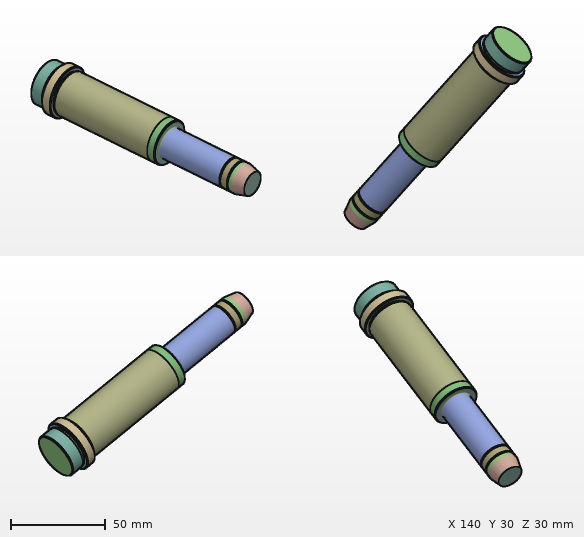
import cadquery as cq
import math

total_length = 140.0
body_diameter = 26.0
collar_diameter = 30.0
spigot_diameter = 18.0

collar_start = 9.0
collar_width = 6.0
shoulder_x = 84.0

edge_chamfer = 0.5
head_relief_width = 1.4
head_relief_depth = 0.4
head_relief_root_width = 0.5
head_relief_root_rise = 0.1
body_relief_width = 1.0
body_relief_depth = 0.5
spigot_root_fillet = 0.5

lead_length = 5.0
lead_clearance = 0.02

nose_length = 7.0
nose_angle = 15.0

groove_width = 0.8
groove_depth = 0.3
groove_pitch = 5.0
groove_count = 2
last_groove_to_nose = 2.6

body_radius = body_diameter / 2
collar_radius = collar_diameter / 2
spigot_radius = spigot_diameter / 2
lead_radius = body_radius - lead_clearance / 2
collar_end = collar_start + collar_width
nose_start = total_length - nose_length
last_groove_start = nose_start - last_groove_to_nose - groove_width
nose_tip_radius = spigot_radius - nose_length * math.tan(math.radians(nose_angle))


def make_shaft():
    """Revolve the half outline, listed from the head end to the nose, about the X axis."""
    outline = (
        cq.Workplane("XZ")
        .moveTo(0, 0)
        .lineTo(0, body_radius - edge_chamfer)
        .lineTo(edge_chamfer, body_radius)
        .lineTo(collar_start - head_relief_width, body_radius)
        .threePointArc(
            (collar_start - head_relief_root_width, body_radius - head_relief_depth),
            (collar_start, body_radius - head_relief_depth + head_relief_root_rise),
        )
        .lineTo(collar_start, collar_radius - edge_chamfer)
        .lineTo(collar_start + edge_chamfer, collar_radius)
        .lineTo(collar_end - edge_chamfer, collar_radius)
        .lineTo(collar_end, collar_radius - edge_chamfer)
        .lineTo(collar_end, body_radius - body_relief_depth)
        .lineTo(collar_end + body_relief_width, body_radius - body_relief_depth)
        .lineTo(collar_end + body_relief_width, body_radius)
        .lineTo(shoulder_x - lead_length, body_radius)
        .lineTo(shoulder_x - lead_length, lead_radius)
        .lineTo(shoulder_x - edge_chamfer, lead_radius)
        .lineTo(shoulder_x, lead_radius - edge_chamfer)
        .lineTo(shoulder_x, spigot_radius + spigot_root_fillet)
        .radiusArc((shoulder_x + spigot_root_fillet, spigot_radius), -spigot_root_fillet)
        .lineTo(nose_start, spigot_radius)
        .lineTo(total_length, nose_tip_radius)
        .lineTo(total_length, 0)
        .close()
    )
    return outline.revolve(360, (0, 0, 0), (1, 0, 0))


def make_ring_groove(start):
    """Ring to remove from the spigot, beginning at the given X position."""
    return (
        cq.Workplane("XZ")
        .moveTo(start, spigot_radius)
        .threePointArc(
            (start + groove_width / 2, spigot_radius - groove_depth),
            (start + groove_width, spigot_radius),
        )
        .close()
        .revolve(360, (0, 0, 0), (1, 0, 0))
    )


result = make_shaft()
for index in range(groove_count):
    result = result.cut(make_ring_groove(last_groove_start - index * groove_pitch))